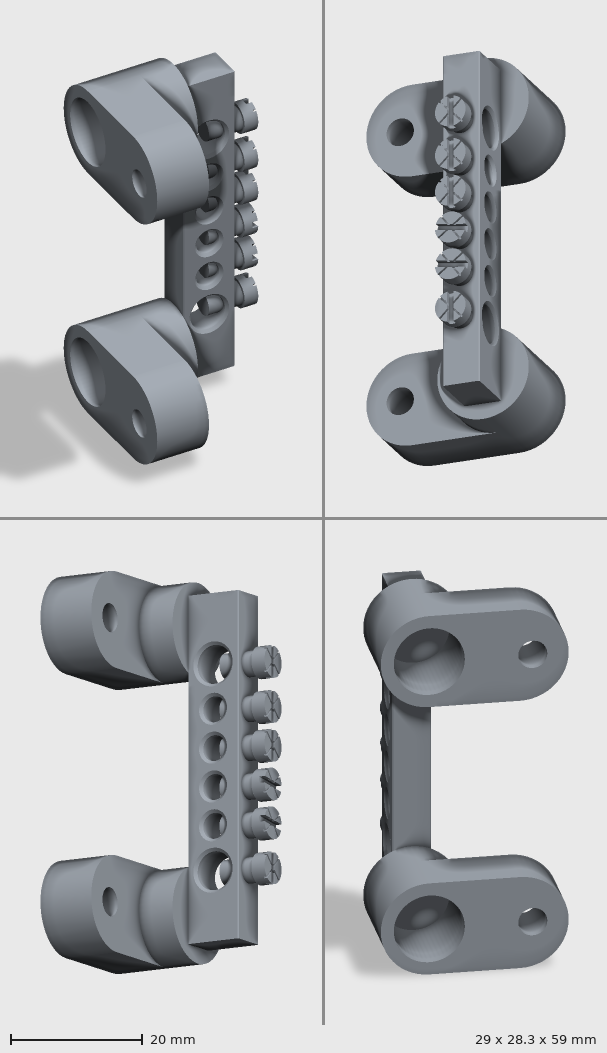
import cadquery as cq


total_height = 59.0
foot_width = 15.0
foot_length = 29.0
foot_radius = foot_width / 2
foot_spacing = total_height - foot_width
arm_thickness = 9.0
boss_height = 15.0
bore_diameter = 11.0
boss_wall = (foot_width - bore_diameter) / 2
bore_depth = boss_height - boss_wall
mount_hole_offset = 16.0
mount_hole_diameter = 4.5

bar_width = 6.0
bar_depth = 8.95
bar_length = 54.0
bar_edge_chamfer = 0.2
bar_front = boss_height
bar_back = bar_front + bar_depth
wire_hole_level = bar_front + bar_depth / 2
small_hole_diameter = 4.0
large_hole_diameter = 6.0
hole_chamfer = 0.5
small_hole_pitch = 6.0
large_hole_offset = 16.0
small_hole_positions = [small_hole_pitch * step for step in (-1.5, -0.5, 0.5, 1.5)]
large_hole_positions = [-large_hole_offset, large_hole_offset]

screw_tip = 20.0
shank_diameter = 4.0
head_diameter = 5.0
head_height = 2.35
screw_top = 28.3
head_bottom = screw_top - head_height
slot_width = 1.0
slot_depth = 1.0
fine_groove_width = 0.3
fine_groove_depth = 0.5
fine_groove_angles = (45, 135)
upright_slot = 0
turned_slot = 82
screw_placements = [
    (large_hole_positions[1], upright_slot),
    (small_hole_positions[3], upright_slot),
    (small_hole_positions[2], upright_slot),
    (small_hole_positions[1], turned_slot),
    (small_hole_positions[0], turned_slot),
    (large_hole_positions[0], upright_slot),
]


def cylinder_along_y(diameter, y_start, y_end, x=0, z=0):
    """Round bar parallel to Y between two levels."""
    return (
        cq.Workplane("XZ", origin=(x, y_start, z))
        .circle(diameter / 2)
        .extrude(y_start - y_end)
    )


def make_foot(z):
    """Rounded arm with a hollow boss standing on one end and a mounting hole at the other."""
    arm_straight = foot_length - foot_width
    arm = (
        cq.Workplane("XZ", origin=(0, 0, z))
        .moveTo(0, -foot_radius)
        .lineTo(arm_straight, -foot_radius)
        .threePointArc((arm_straight + foot_radius, 0), (arm_straight, foot_radius))
        .lineTo(0, foot_radius)
        .threePointArc((-foot_radius, 0), (0, -foot_radius))
        .close()
        .extrude(-arm_thickness)
    )
    boss = cylinder_along_y(foot_width, arm_thickness, boss_height, z=z)
    bore = cylinder_along_y(bore_diameter, 0, bore_depth, z=z)
    mount_hole = cylinder_along_y(mount_hole_diameter, 0, arm_thickness, mount_hole_offset, z)
    return arm.union(boss).cut(bore).cut(mount_hole)


def make_wire_hole(diameter, z):
    """Cutter for a hole across the bar along X, chamfered at both mouths."""
    half_width = bar_width / 2
    radius = diameter / 2
    mouth_radius = radius + hole_chamfer
    profile = [
        (-half_width, 0),
        (-half_width, mouth_radius),
        (-half_width + hole_chamfer, radius),
        (half_width - hole_chamfer, radius),
        (half_width, mouth_radius),
        (half_width, 0),
    ]
    return (
        cq.Workplane("XY", origin=(0, wire_hole_level, z))
        .polyline(profile)
        .close()
        .revolve(360, (0, 0, 0), (1, 0, 0))
    )


def make_bar():
    """Rectangular bar with wire holes across it and screw holes from its back face."""
    bar = (
        cq.Workplane("XY")
        .box(bar_width, bar_depth, bar_length)
        .edges("|Z")
        .chamfer(bar_edge_chamfer)
        .translate((0, wire_hole_level, 0))
    )
    for z in small_hole_positions:
        bar = bar.cut(make_wire_hole(small_hole_diameter, z))
    for z in large_hole_positions:
        bar = bar.cut(make_wire_hole(large_hole_diameter, z))
    for z, _ in screw_placements:
        bar = bar.cut(cylinder_along_y(shank_diameter, screw_tip, bar_back, z=z))
    return bar


def make_head_groove(width, depth, angle):
    """Cutter for a straight groove across a screw head, turned about the screw axis."""
    groove = cq.Workplane("XY", origin=(0, screw_top - depth / 2, 0)).box(width, depth, head_diameter)
    return groove.rotate((0, 0, 0), (0, 1, 0), angle)


def make_screw(z, slot_turn):
    """Cheese-head screw with a main slot and two fine diagonal grooves."""
    shank = cylinder_along_y(shank_diameter, screw_tip, head_bottom)
    head = cylinder_along_y(head_diameter, head_bottom, screw_top)
    screw = shank.union(head).cut(make_head_groove(slot_width, slot_depth, 0))
    for angle in fine_groove_angles:
        screw = screw.cut(make_head_groove(fine_groove_width, fine_groove_depth, angle))
    return screw.rotate((0, 0, 0), (0, 1, 0), slot_turn).translate((0, 0, z))


feet = [make_foot(z) for z in (-foot_spacing / 2, foot_spacing / 2)]
bar = make_bar()
screws = [make_screw(z, slot_turn) for z, slot_turn in screw_placements]

result = cq.Compound.makeCompound(
    [foot.val() for foot in feet] + [bar.val()] + [screw.val() for screw in screws]
)